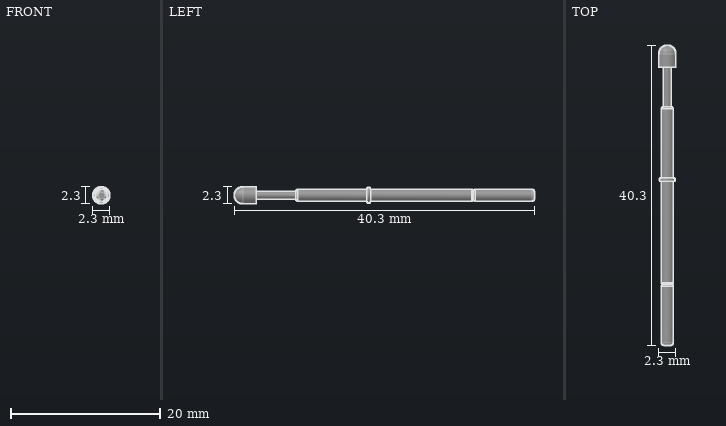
import cadquery as cq
import math

total_length = 40.3

head_radius = 2.3 / 2
head_length = 3.0
stem_radius = 1.1 / 2

barrel_radius = 1.66 / 2
barrel_length = 32.0
tail_fillet = 0.4
mouth_radius = 0.65
mouth_length = 0.25

ring_center = 22.25
bead_radius = 0.25

groove_center = 8.2
groove_length = 0.5
groove_depth = 0.12

head_back = total_length - head_length
dome_base = total_length - head_radius


def revolve_profile(profile):
    """Revolve a closed outline (X = radius, Y = length) about the Y axis."""
    return profile.close().revolve(360, (0, 0, 0), (0, 1, 0))


def make_barrel():
    mouth_base = barrel_length - mouth_length
    fillet_middle = tail_fillet * math.sqrt(0.5)
    profile = (
        cq.Workplane("XY")
        .lineTo(barrel_radius - tail_fillet, 0)
        .threePointArc(
            (barrel_radius - tail_fillet + fillet_middle, tail_fillet - fillet_middle),
            (barrel_radius, tail_fillet),
        )
        .lineTo(barrel_radius, groove_center - groove_length / 2)
        .lineTo(barrel_radius - groove_depth, groove_center)
        .lineTo(barrel_radius, groove_center + groove_length / 2)
        .lineTo(barrel_radius, mouth_base)
        .lineTo(mouth_radius, barrel_length)
        .lineTo(0, barrel_length)
    )
    return revolve_profile(profile)


def make_press_ring():
    """Half-round bead standing on the barrel surface."""
    back = ring_center - bead_radius
    front = ring_center + bead_radius
    profile = (
        cq.Workplane("XY")
        .moveTo(0, back)
        .lineTo(barrel_radius, back)
        .threePointArc((barrel_radius + bead_radius, ring_center), (barrel_radius, front))
        .lineTo(0, front)
    )
    return revolve_profile(profile)


def make_plunger():
    """Stem, cylindrical head and hemispherical contact dome."""
    dome_middle = head_radius * math.sqrt(0.5)
    profile = (
        cq.Workplane("XY")
        .moveTo(0, barrel_length)
        .lineTo(stem_radius, barrel_length)
        .lineTo(stem_radius, head_back)
        .lineTo(head_radius, head_back)
        .lineTo(head_radius, dome_base)
        .threePointArc((dome_middle, dome_base + dome_middle), (0, total_length))
    )
    return revolve_profile(profile)


result = make_barrel().union(make_press_ring()).union(make_plunger())